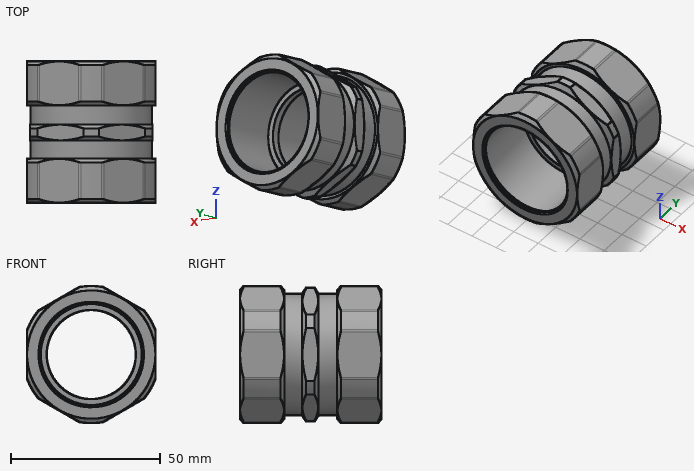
import cadquery as cq
import math

total_length = 47.3
end_y = total_length / 2
half_flat_angle = 30.0

nut_across_flats = 43.0
nut_corner_radius = 22.92
nut_length = 14.82
nut_chamfer_length = 1.3
nut_face_radius = 21.4
nut_edge_fillet = 2.0

body_diameter = 40.6
collar_across_flats = 41.0
collar_corner_radius = 22.3
collar_length = 5.5
collar_offset = -0.15
collar_chamfer_length = 1.35
collar_face_radius = body_diameter / 2

mouth_chamfer_diameter = 35.2
mouth_diameter = 34.1
mouth_chamfer_length = 0.5
mouth_depth = 1.0
tube_diameter = 33.7
stop_diameter = 29.65
stop_length = 3.0


def revolve_profile(points):
    """Revolve a closed (radius, y) outline about the Y axis."""
    return cq.Workplane("XY").polyline(points).close().revolve(360, (0, 0, 0), (0, 1, 0))


def cylinder(radius, start_y, length):
    """Solid cylinder along +Y from start_y."""
    return cq.Workplane("XZ", origin=(0, start_y, 0)).circle(radius).extrude(-length)


def rounded_hexagon(
    across_flats, corner_radius, face_radius, chamfer_length, length, start_y, edge_fillet=0
):
    """Hexagon with flats facing +X and -X, corners turned round and both ends chamfered."""
    corner_diameter = across_flats / math.cos(math.radians(half_flat_angle))
    finish_y = start_y + length
    prism = (
        cq.Workplane("XZ", origin=(0, start_y, 0))
        .polygon(6, corner_diameter)
        .extrude(-length)
        .rotate((0, 0, 0), (0, 1, 0), half_flat_angle)
        .intersect(cylinder(corner_radius, start_y, length))
    )
    if edge_fillet > 0:
        prism = prism.edges("|Y").fillet(edge_fillet)
    envelope = revolve_profile(
        [
            (0, start_y),
            (face_radius, start_y),
            (corner_radius, start_y + chamfer_length),
            (corner_radius, finish_y - chamfer_length),
            (face_radius, finish_y),
            (0, finish_y),
        ]
    )
    return prism.intersect(envelope)


def end_nut(start_y):
    return rounded_hexagon(
        nut_across_flats,
        nut_corner_radius,
        nut_face_radius,
        nut_chamfer_length,
        nut_length,
        start_y,
        nut_edge_fillet,
    )


def collar():
    return rounded_hexagon(
        collar_across_flats,
        collar_corner_radius,
        collar_face_radius,
        collar_chamfer_length,
        collar_length,
        collar_offset - collar_length / 2,
    )


def tube_socket():
    """Space for the tube at the -Y end: chamfered mouth, then the bore down to the stop."""
    face_y = -end_y
    stop_y = -stop_length / 2
    return revolve_profile(
        [
            (0, face_y),
            (mouth_chamfer_diameter / 2, face_y),
            (mouth_diameter / 2, face_y + mouth_chamfer_length),
            (mouth_diameter / 2, face_y + mouth_depth),
            (tube_diameter / 2, face_y + mouth_depth),
            (tube_diameter / 2, stop_y),
            (0, stop_y),
        ]
    )


body_length = total_length - 2 * nut_length
body = cylinder(body_diameter / 2, -body_length / 2, body_length)
stop_hole = cylinder(stop_diameter / 2, -end_y, total_length)

result = body.union(collar())
for nut_start in (-end_y, end_y - nut_length):
    result = result.union(end_nut(nut_start))
result = result.cut(stop_hole)
for socket in (tube_socket(), tube_socket().mirror("XZ")):
    result = result.cut(socket)